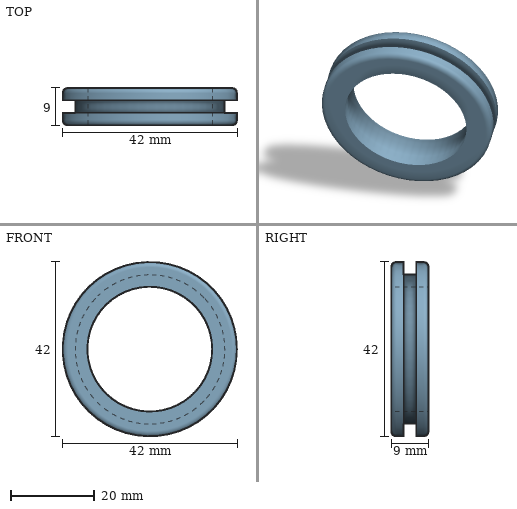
import cadquery as cq

outer_diameter = 42.0
bore_diameter = 30.0
groove_diameter = 36.0
ring_width = 9.0
groove_width = 3.0
rim_fillet = 1.2


def disc(diameter, width):
    """Cylinder along Y, centred on the origin."""
    start_plane = cq.Workplane("XZ").workplane(offset=-width / 2)
    return start_plane.circle(diameter / 2).extrude(width)


body = disc(outer_diameter, ring_width).edges("%CIRCLE").fillet(rim_fillet)

groove = disc(outer_diameter, groove_width).cut(disc(groove_diameter, groove_width))

bore = disc(bore_diameter, ring_width)

result = body.cut(groove).cut(bore)